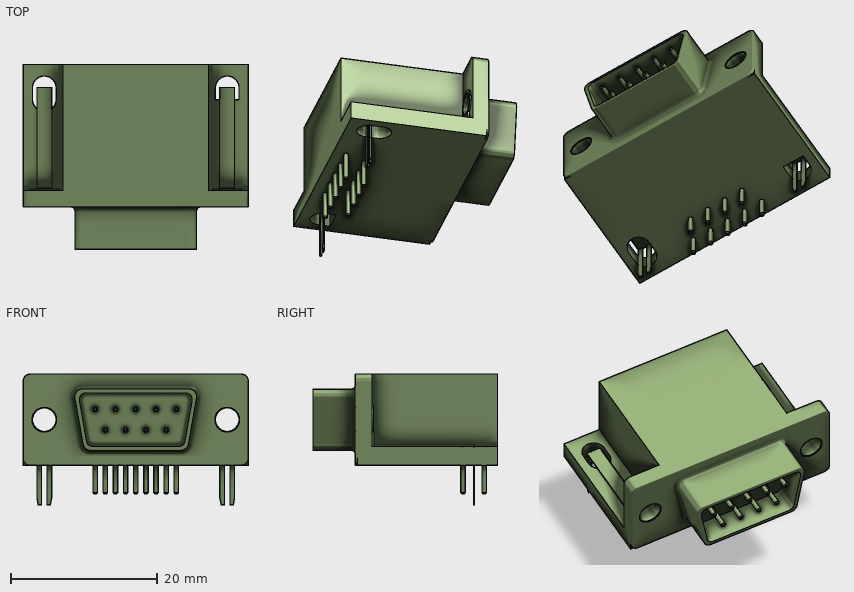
import cadquery as cq
import math

width = 30.8
body_height = 12.5
body_depth = 19.5
center_z = body_height / 2

flange_depth = 2.28
block_width = 19.85
foot_height = 2.55
corner_radius = 1.0

plate_thickness = 0.3
plate_edge_round = 0.12

shell_length = 5.8
shell_height = 8.38
shell_corner_spacing = 14.63
shell_corner_radius = 1.02
shell_side_angle = 10.0
shell_wall = 0.52
cavity_corner_radius = 0.92
shell_base_fillet = 0.55
shell_lip_round = 0.05
cavity_depth = 3.7
selection_gap = 0.003

contact_pitch = 2.77
contact_row_spacing = 2.83
upper_row_count = 5
contact_diameter = 0.65
contact_recess = 0.1
contact_tip_chamfer = 0.15
tail_length = 3.88
tail_row_spacing = 2.9
rear_tail_y = body_depth - 1.85
front_tail_y = rear_tail_y - tail_row_spacing

mount_x = 12.5
mount_hole_diameter = 3.2
mount_hole_chamfer = 0.1
slot_width = 3.2
slot_rear_y = body_depth - 3.2
slot_front_y = slot_rear_y - 1.6
clip_head_diameter = 4.0
clip_width = 2.05
clip_thickness = 0.2
clip_upright_thickness = 0.3
clip_upright_top = 4.62
clip_rear_y = body_depth - 3.15
leg_length = 5.4
leg_width = 0.68
leg_tip_inset = 0.2
leg_tip_length = 1.02


def box(x_range, y_range, z_range):
    """Box spanning the given (low, high) range on each axis."""
    (x0, x1), (y0, y1), (z0, z1) = x_range, y_range, z_range
    return cq.Workplane("XY").box(x1 - x0, y1 - y0, z1 - z0, centered=False).translate((x0, y0, z0))


def centered(middle, size):
    """(low, high) range of the given size around a middle."""
    return (middle - size / 2, middle + size / 2)


def facing_front(y):
    """Workplane at depth y whose extrusions run toward -Y."""
    return cq.Workplane("XZ", origin=(0, y, 0))


def make_housing():
    full_width = centered(0, width)
    flange = box(full_width, (plate_thickness, flange_depth), (0, body_height))
    flange = flange.edges("|Y and >Z").fillet(corner_radius)
    foot = box(full_width, (plate_thickness, body_depth), (0, foot_height))
    block = box(centered(0, block_width), (plate_thickness, body_depth), (0, body_height))
    return flange.union(foot).union(block)


def make_plate():
    plate = box(centered(0, width), (0, plate_thickness), (0, body_height))
    return plate.edges("|Y").fillet(corner_radius).faces("<Y").edges().fillet(plate_edge_round)


def d_prism(y, length, inset, radius):
    """D-shaped prism running forward from depth y, its sides inset from the outer shell surface."""
    slope = math.radians(shell_side_angle)
    sharp_half = shell_corner_spacing / 2 + shell_corner_radius * (1 + math.sin(slope)) / math.cos(slope)
    top_half = sharp_half - inset * (1 + math.sin(slope)) / math.cos(slope)
    height = shell_height - 2 * inset
    bottom_half = top_half - height * math.tan(slope)
    top_z = center_z + height / 2
    bottom_z = center_z - height / 2
    outline = [(-top_half, top_z), (top_half, top_z), (bottom_half, bottom_z), (-bottom_half, bottom_z)]
    return facing_front(y).polyline(outline).close().extrude(length).edges("|Y").fillet(radius)


def add_shell(body):
    shell = d_prism(plate_thickness, plate_thickness + shell_length, 0, shell_corner_radius)
    shell = shell.faces("<Y").edges().fillet(shell_lip_round)
    body = body.union(shell)
    margin = corner_radius
    low_corner = (margin - width / 2, -selection_gap, margin)
    high_corner = (width / 2 - margin, selection_gap, body_height - margin)
    root = cq.selectors.BoxSelector(low_corner, high_corner)
    body = body.edges(root).fillet(shell_base_fillet)
    return body.cut(d_prism(cavity_depth - shell_length, cavity_depth, shell_wall, cavity_corner_radius))


def make_contacts():
    """Mating pins in two staggered rows, with a board tail below each."""
    rows = [
        (upper_row_count, center_z + contact_row_spacing / 2, rear_tail_y),
        (upper_row_count - 1, center_z - contact_row_spacing / 2, front_tail_y),
    ]
    pin_length = shell_length - contact_recess + plate_thickness
    contacts = []
    for count, z, tail_y in rows:
        for index in range(count):
            x = (index - (count - 1) / 2) * contact_pitch
            pin = facing_front(plate_thickness).center(x, z).circle(contact_diameter / 2).extrude(pin_length)
            pin = pin.faces("<Y").chamfer(contact_tip_chamfer)
            tail = cq.Workplane("XY", origin=(x, tail_y, -tail_length))
            tail = tail.circle(contact_diameter / 2).extrude(tail_length + foot_height / 2)
            tail = tail.faces("<Z").chamfer(contact_tip_chamfer)
            contacts += [pin, tail]
    return contacts


def make_slot(x, rounded_front):
    """Vertical clip opening through the foot, round at the rear and optionally at the front."""
    middle_y = (slot_rear_y + slot_front_y) / 2
    length = slot_rear_y - slot_front_y
    plan = cq.Workplane("XY", origin=(x, middle_y, 0))
    slot = plan.slot2D(length + slot_width, slot_width, 90).extrude(foot_height)
    if rounded_front:
        return slot
    return slot.intersect(box(centered(x, slot_width), (slot_front_y, body_depth), (0, foot_height)))


def make_mount_hole(x):
    """Through hole in plate, flange and clip head, widened by a chamfer at the plate face."""
    radius = mount_hole_diameter / 2
    depth = flange_depth + clip_thickness
    hole = facing_front(depth).center(x, center_z).circle(radius).extrude(depth)
    cone = cq.Solid.makeCone(
        radius + mount_hole_chamfer,
        radius,
        mount_hole_chamfer,
        pnt=cq.Vector(x, 0, center_z),
        dir=cq.Vector(0, 1, 0),
    )
    return hole.union(cq.Workplane(cone))


def make_clip(x):
    """Bent strip: round head on the flange, run along the foot, two legs through the slot."""
    strip_x = centered(x, clip_width)
    strip_top = foot_height + clip_thickness
    strip_z = (foot_height, strip_top)
    head = facing_front(flange_depth + clip_thickness).center(x, center_z)
    head = head.circle(clip_head_diameter / 2).extrude(clip_thickness)
    upright_y = (flange_depth, flange_depth + clip_upright_thickness)
    upright = box(strip_x, upright_y, (foot_height, clip_upright_top))
    run = box(strip_x, (flange_depth, clip_rear_y), strip_z)
    clip = head.union(upright).union(run)
    outer = clip_width / 2
    inner = outer - leg_width
    for side in (-1, 1):
        outline = [
            (x + side * inner, strip_top),
            (x + side * outer, strip_top),
            (x + side * outer, leg_tip_length - leg_length),
            (x + side * (outer - leg_tip_inset), -leg_length),
            (x + side * inner, -leg_length),
        ]
        clip = clip.union(facing_front(clip_rear_y).polyline(outline).close().extrude(clip_thickness))
    return clip


result = add_shell(make_housing().union(make_plate()))
for contact in make_contacts():
    result = result.union(contact)
for side in (-1, 1):
    x = side * mount_x
    result = result.cut(make_slot(x, rounded_front=side < 0))
    result = result.union(make_clip(x))
    result = result.cut(make_mount_hole(x))